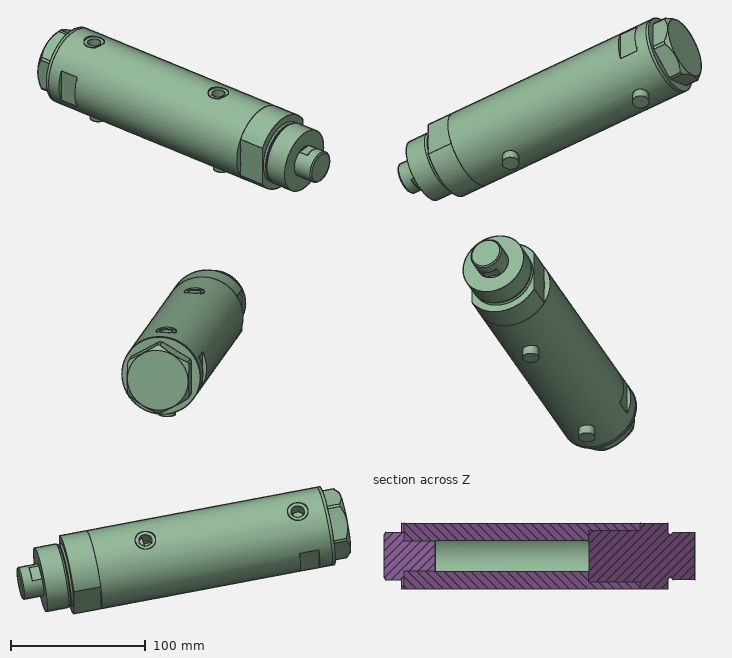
import cadquery as cq
import math


CAP_FLANGE_START = 13.0
HOUSING_START = 15.3
HOUSING_END = 190.3
GLAND_SHOULDER = 210.7
NECK_START = 212.2
NECK_END = 213.0
COLLAR_START = 214.5
COLLAR_END = 230.7
ROD_END = 246.2

OUTER_RADIUS = 29.5
BORE_RADIUS = 20.0
GLAND_SEAT_RADIUS = 25.0
COLLAR_RADIUS = 24.1
NECK_CONE_RADIUS = 24.0
NECK_RADIUS = 23.0
ROD_RADIUS = 12.0

CAP_SPIGOT_END = 38.2
GLAND_SPIGOT_START = 152.2

HEX_ACROSS_FLATS = 46.3
HEX_CORNER_RADIUS = 26.0
HEX_CHAMFER = 3.2

HOUSING_FLAT_START = 24.9
HOUSING_FLAT_LENGTH = 14.8
HOUSING_FLAT_OFFSET = 26.5
GLAND_FLAT_OFFSET = 24.9
ROD_FLAT_LENGTH = 7.5
ROD_FLAT_OFFSET = 10.5

PORT_POSITIONS = (35.2, 151.0)
PORT_RADIUS = 5.0
SPOTFACE_RADIUS = 7.6
SPOTFACE_DEPTH = 0.2

FOOT_POSITIONS = (39.0, 153.9)
FOOT_RADIUS = 6.2
FOOT_BOTTOM = -36.5

ROD_CHAMFER = 1.0


def cylinder(start, end, radius):
    """Solid cylinder on the X axis between two stations."""
    return cq.Workplane("YZ").workplane(offset=start).circle(radius).extrude(end - start)


def cut_flats(body, start, length, offset, normal):
    """Cut two opposite flats, at the given distance from the axis along Y or Z."""
    size = 2 * OUTER_RADIUS
    for side in (-1, 1):
        block = cq.Workplane("XY").box(length, size, size)
        shift = side * (offset + size / 2)
        middle = start + length / 2
        if normal == "Y":
            block = block.translate((middle, shift, 0))
        else:
            block = block.translate((middle, 0, shift))
        body = body.cut(block)
    return body


def make_cap():
    """Hexagon-headed end cap with a round flange and a spigot that closes the bore."""
    corner_distance = HEX_ACROSS_FLATS / math.cos(math.pi / 6)
    hexagon = (
        cq.Workplane("YZ")
        .polygon(6, corner_distance)
        .extrude(CAP_FLANGE_START)
        .rotate((0, 0, 0), (1, 0, 0), 90)
    )
    envelope = cylinder(0, CAP_FLANGE_START, HEX_CORNER_RADIUS).faces("<X").chamfer(HEX_CHAMFER)
    flange = cylinder(CAP_FLANGE_START, HOUSING_START, OUTER_RADIUS)
    spigot = cylinder(HOUSING_START, CAP_SPIGOT_END, BORE_RADIUS)
    return hexagon.intersect(envelope).union(flange).union(spigot)


def make_housing():
    """Barrel with a stepped bore, spanner flats, two spotfaced ports and two round feet."""
    body = cylinder(HOUSING_START, HOUSING_END, OUTER_RADIUS)
    for x in FOOT_POSITIONS:
        foot = cq.Workplane("XY", origin=(x, 0, FOOT_BOTTOM)).circle(FOOT_RADIUS).extrude(-FOOT_BOTTOM)
        body = body.union(foot)
    body = body.cut(cylinder(HOUSING_START, HOUSING_END, BORE_RADIUS))
    body = body.cut(cylinder(GLAND_SPIGOT_START, HOUSING_END, GLAND_SEAT_RADIUS))
    body = cut_flats(body, HOUSING_FLAT_START, HOUSING_FLAT_LENGTH, HOUSING_FLAT_OFFSET, "Y")

    rim_height = math.sqrt(OUTER_RADIUS**2 - SPOTFACE_RADIUS**2)
    spotface_floor = rim_height - SPOTFACE_DEPTH
    for x in PORT_POSITIONS:
        port = cq.Workplane("XY", origin=(x, 0, 0)).circle(PORT_RADIUS).extrude(OUTER_RADIUS)
        spotface = (
            cq.Workplane("XY", origin=(x, 0, spotface_floor))
            .circle(SPOTFACE_RADIUS)
            .extrude(OUTER_RADIUS)
        )
        body = body.cut(port).cut(spotface)
    return body


def make_gland():
    """Rod guide with a spigot, a head with two flats, a neck groove and a collar."""
    profile = [
        (GLAND_SPIGOT_START, ROD_RADIUS),
        (GLAND_SPIGOT_START, GLAND_SEAT_RADIUS),
        (HOUSING_END, GLAND_SEAT_RADIUS),
        (HOUSING_END, OUTER_RADIUS),
        (GLAND_SHOULDER, OUTER_RADIUS),
        (GLAND_SHOULDER, NECK_CONE_RADIUS),
        (NECK_START, NECK_RADIUS),
        (NECK_END, NECK_RADIUS),
        (COLLAR_START, COLLAR_RADIUS),
        (COLLAR_END, COLLAR_RADIUS),
        (COLLAR_END, ROD_RADIUS),
    ]
    body = cq.Workplane("XZ").polyline(profile).close().revolve(360, (0, 0, 0), (1, 0, 0))
    return cut_flats(body, HOUSING_END, GLAND_SHOULDER - HOUSING_END, GLAND_FLAT_OFFSET, "Y")


def make_rod():
    """Rod from the cap spigot out through the gland, with two flats and a chamfered tip."""
    body = cylinder(CAP_SPIGOT_END, ROD_END, ROD_RADIUS).faces(">X").chamfer(ROD_CHAMFER)
    return cut_flats(body, COLLAR_END, ROD_FLAT_LENGTH, ROD_FLAT_OFFSET, "Z")


cap = make_cap()
housing = make_housing()
gland = make_gland()
rod = make_rod()

result = cq.Compound.makeCompound([cap.val(), housing.val(), gland.val(), rod.val()])